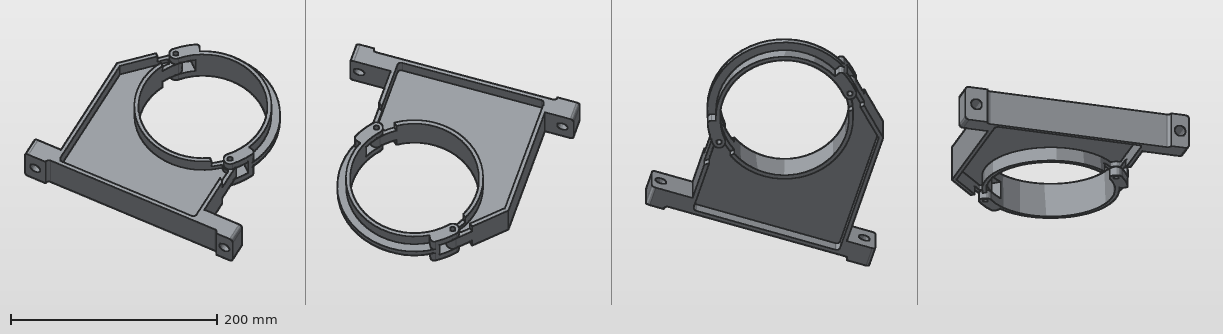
import cadquery as cq
import math

length = 227.2
height = 35.0
block_reach = 4 * length
wall = 4.0
web_thickness = 7.0

ring_x = 13.5
ring_y = 130.0
bore_radius = 62.5
rim_radius = bore_radius + wall
flange_radius = 75.0

split_angle = -40.0
pin_hole_diameter = 5.0
ear_span = 20.0
ear_corner_radius = 3.6
ear_height = height / 4
hinge_clearance = 17.5
pin_wall_radius = 7.5
pin_circle_radius = (bore_radius + flange_radius) / 2
knuckle_radius = (flange_radius - bore_radius) / 2

body_left = -84.5
foot_depth = 20.0
left_foot_length = 22.7
right_foot_length = 18.2
foot_corner_radius = 3.6
foot_relief = 3.6
relief_corner_radius = 3.5
foot_hole_diameter = 11.0
left_hole_inset = 11.4
right_hole_inset = 9.0
pocket_corner_radius = 3.6
boss_corner_radius = 1.1


def ring_point(radius, angle):
    """Point at a polar position about the ring centre."""
    turn = math.radians(angle)
    return (ring_x + radius * math.cos(turn), ring_y + radius * math.sin(turn))


def prism(sketch, thickness):
    """Extrude a sketch evenly to both sides of the middle plane."""
    return sketch.extrude(thickness / 2, both=True)


def cylinder(center, radius, thickness=height):
    return prism(cq.Workplane("XY").center(*center).circle(radius), thickness)


def split_side(offset, upper, thickness=height):
    """Large block on one side of a line parallel to the split line."""
    middle = offset + (block_reach / 2 if upper else -block_reach / 2)
    block = cq.Workplane("XY").box(block_reach, block_reach, thickness).translate((0, middle, 0))
    return block.rotate((0, 0, 0), (0, 0, 1), split_angle).translate((ring_x, ring_y, 0))


left_pin = ring_point(pin_circle_radius, split_angle + 180)
right_pin = ring_point(pin_circle_radius, split_angle)
pins = (left_pin, right_pin)
body_right = right_pin[0] + knuckle_radius


def pin_end(pin, side):
    """Farthest point of a pin's round end, above (1) or below (-1) the split line."""
    turn = math.radians(split_angle + 90)
    reach = side * knuckle_radius
    return (pin[0] + reach * math.cos(turn), pin[1] + reach * math.sin(turn))


def shoulder_points(inset):
    """Left side of the body and its 45 degree shoulder, tangent to the left knuckle."""
    slope_run = (knuckle_radius - inset) * math.sqrt(0.5)
    slope_end = (left_pin[0] - slope_run, left_pin[1] + slope_run)
    left = body_left + inset
    shoulder_y = slope_end[1] - (slope_end[0] - left)
    return (left, shoulder_y), slope_end


def make_plate():
    """Body plate whose lower half bore ends in a round knuckle at each pin."""
    shoulder, slope_end = shoulder_points(0)
    bore_end = ring_point(bore_radius, split_angle + 180)
    sketch = (
        cq.Workplane("XY")
        .moveTo(body_left, foot_relief)
        .lineTo(body_right, foot_relief)
        .lineTo(body_right, right_pin[1])
        .threePointArc(pin_end(right_pin, 1), ring_point(bore_radius, split_angle))
        .threePointArc(ring_point(bore_radius, split_angle - 90), bore_end)
        .threePointArc(pin_end(left_pin, 1), slope_end)
        .lineTo(*shoulder)
        .close()
    )
    return prism(sketch, height)


def make_pocket():
    """Pocket on both faces, leaving the ring rim, pin bosses and centre web."""
    shoulder, slope_end = shoulder_points(wall)
    bottom = foot_relief + wall
    right = body_right - wall
    points = [(body_left + wall, bottom), (right, bottom), (right, right_pin[1]), right_pin,
              left_pin, slope_end, shoulder]
    pocket = prism(cq.Workplane("XY").polyline(points).close(), height)
    pocket = pocket.edges("|Z and <Y").fillet(pocket_corner_radius)
    pocket = pocket.cut(cylinder((ring_x, ring_y), rim_radius))
    for pin in pins:
        pocket = pocket.cut(cylinder(pin, pin_wall_radius))
    for x, y in pins:
        reach = 2 * pin_wall_radius
        around_pin = cq.selectors.BoxSelector((x - reach, y - reach, -height), (x + reach, y + reach, height))
        pocket = pocket.edges("|Z").edges(around_pin).fillet(boss_corner_radius)
    return pocket.cut(cq.Workplane("XY").box(block_reach, block_reach, web_thickness))


def make_feet():
    """Base bar with rounded ends, relieved between its two feet."""
    bar = cq.Workplane("XY").box(length, foot_depth, height).translate((0, foot_depth / 2, 0))
    bar = bar.edges("|Y").fillet(foot_corner_radius)
    relief_length = length - left_foot_length - right_foot_length
    relief_middle = (left_foot_length - right_foot_length) / 2
    relief = cq.Workplane("XY").box(relief_length, 2 * foot_relief, height).translate((relief_middle, 0, 0))
    relief = relief.edges("|Z and >Y").fillet(relief_corner_radius)
    bar = bar.cut(relief)
    left_hole = left_hole_inset - length / 2
    right_hole = length / 2 - right_hole_inset
    holes = cq.Workplane("XZ").pushPoints([(left_hole, 0), (right_hole, 0)])
    return bar.cut(holes.circle(foot_hole_diameter / 2).extrude(-foot_depth))


def make_body():
    body = make_plate().union(make_feet()).cut(make_pocket())
    ear_room = split_side(-hinge_clearance, upper=True)
    knuckle_layer = cq.Workplane("XY").box(block_reach, block_reach, height - 2 * ear_height)
    return body.cut(ear_room.cut(knuckle_layer))


def flange_recess():
    """Space outside the rim, between the two ears, on one side of the flange."""
    start = split_angle + ear_span
    end = split_angle + 180 - ear_span
    top_angle = split_angle + 90
    outside = flange_radius + wall
    sketch = (
        cq.Workplane("XY")
        .moveTo(*ring_point(rim_radius, start))
        .threePointArc(ring_point(rim_radius, top_angle), ring_point(rim_radius, end))
        .lineTo(*ring_point(outside, end))
        .threePointArc(ring_point(outside, top_angle), ring_point(outside, start))
        .close()
    )
    return sketch.extrude((height - web_thickness) / 2)


def make_clamp():
    """Upper half ring with a stiffening flange and a forked ear at each end."""
    left_angle = split_angle + 180
    top_angle = split_angle + 90
    sketch = (
        cq.Workplane("XY")
        .moveTo(*ring_point(bore_radius, split_angle))
        .threePointArc(ring_point(bore_radius, top_angle), ring_point(bore_radius, left_angle))
        .threePointArc(pin_end(left_pin, -1), ring_point(flange_radius, left_angle))
        .threePointArc(ring_point(flange_radius, top_angle), ring_point(flange_radius, split_angle))
        .threePointArc(pin_end(right_pin, -1), ring_point(bore_radius, split_angle))
        .close()
    )
    clamp = prism(sketch, height)
    for z in (-height / 2, web_thickness / 2):
        clamp = clamp.cut(flange_recess().translate((0, 0, z)))
    for angle in (split_angle + ear_span, left_angle - ear_span):
        corner = ring_point(flange_radius, angle)
        for z in (-1, 1):
            middle = z * (height + web_thickness) / 4
            nearest = cq.selectors.NearestToPointSelector((*corner, middle))
            clamp = clamp.edges("|Z").edges(nearest).fillet(ear_corner_radius)
    fork_gap = split_side(hinge_clearance, upper=False, thickness=height - 2 * ear_height)
    return clamp.cut(fork_gap)


result = make_body().union(make_clamp())
for pin in pins:
    result = result.cut(cylinder(pin, pin_hole_diameter / 2))